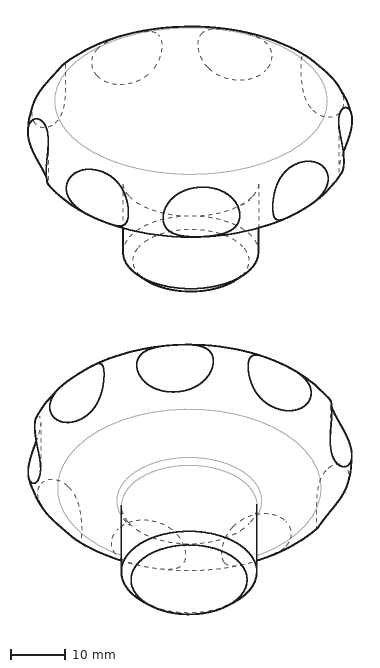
import cadquery as cq
import math

stem_radius = 12.5
stem_chamfer = 1.8
stem_fillet = 1.25

head_radius = 30.0
rim_radius = 7.1
rim_height = 28.1
rim_center_radius = head_radius - rim_radius

total_height = 38.84
crown_rise = total_height - rim_height
crown_radius = (rim_center_radius**2 + crown_rise**2 - rim_radius**2) / (2 * (crown_rise - rim_radius))
crown_center_height = total_height - crown_radius
crown_edge_angle = math.asin(rim_center_radius / (crown_radius - rim_radius))

underside_edge_angle = math.radians(11.0)
underside_inner_height = 17.9

scallop_count = 9
scallop_radius = 16.0
scallop_floor_radius = 27.5
scallop_center_radius = scallop_floor_radius + scallop_radius
first_scallop_angle = -90.0


def crown_point(angle):
    """Point of the crown arc at an angle measured from the knob axis."""
    return (crown_radius * math.sin(angle), crown_center_height + crown_radius * math.cos(angle))


def rim_point(angle, side):
    """Point of the rim arc at an angle from the axis direction; side is +1 upward, -1 downward."""
    radius = rim_center_radius + rim_radius * math.sin(angle)
    height = rim_height + side * rim_radius * math.cos(angle)
    return (radius, height)


def make_body():
    """Solid of revolution: stem, underside, rim and crown."""
    underside_edge = rim_point(underside_edge_angle, -1)
    profile = (
        cq.Workplane("XZ")
        .moveTo(0, total_height)
        .threePointArc(crown_point(crown_edge_angle / 2), crown_point(crown_edge_angle))
        .threePointArc((head_radius, rim_height), underside_edge)
        .tangentArcPoint((stem_radius, underside_inner_height), relative=False)
        .lineTo(stem_radius, 0)
        .lineTo(0, 0)
        .close()
    )
    return profile.revolve(360, (0, 0, 0), (0, 1, 0))


def finish_stem(body):
    """Fillet where the stem meets the underside, chamfer at the stem end."""
    root_box = cq.selectors.BoxSelector(
        (-head_radius, -head_radius, underside_inner_height - stem_fillet),
        (head_radius, head_radius, underside_inner_height + stem_fillet),
    )
    body = body.edges("%CIRCLE").edges(root_box).fillet(stem_fillet)
    return body.faces("<Z").edges().chamfer(stem_chamfer)


def make_scallop_cutters():
    """Upright cylinders that cut the finger scallops."""
    return (
        cq.Workplane("XY")
        .polarArray(scallop_center_radius, first_scallop_angle, 360, scallop_count)
        .circle(scallop_radius)
        .extrude(total_height)
    )


result = finish_stem(make_body()).cut(make_scallop_cutters())